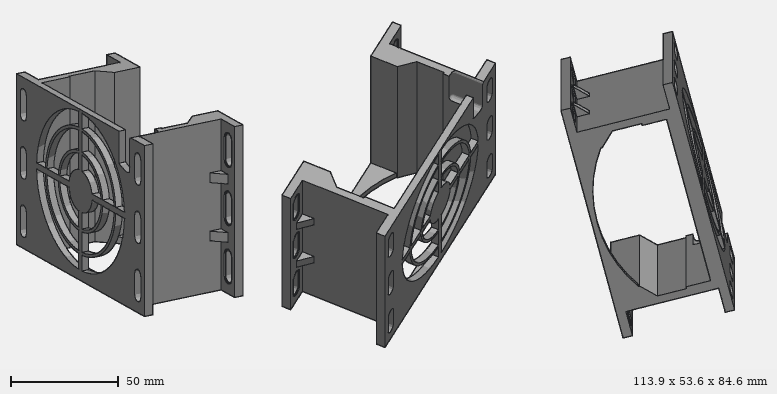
import cadquery as cq
import math

width = 113.9
depth = 53.6
height = 84.6
flange_thickness = 4.5

wall_outer_x = 44.9
wall_inner_x = 41.2
wall_front_inner_x = 40.3
wall_step_y = 19.0
pad_inner_x = 34.5
pad_chamfer_start_y = 33.0
pad_chamfer_size = wall_inner_x - pad_inner_x

plate_thickness = 3.6
floor_thickness = 3.4
floor_strip_y = 7.3
floor_arc_radius = 60.4
floor_arc_apex_y = 51.1

grille_z = 44.2
grille_radius = 39.1
hub_radius = 10.4
ring_outer_radii = (19.8, 31.3)
ring_width = 1.5
spoke_width = 3.1
spoke_offset = 0.3

slot_x = 50.9
slot_width = 5.4
slot_length = 15.8
slot_pitch = 28.8
slot_mid_z = height / 2
slot_rim = 0.6

gusset_leg = 6.2
gusset_height = 4.8

notch_left_x = 34.2
notch_right_x = 43.6
notch_left_z = 68.8
notch_knee_x = 35.4
notch_knee_z = 68.1
notch_floor_z = 66.6
notch_back_y = 15.7
notch_fillet = 1.6
notch_flare_width = 1.1
notch_flare_height = 1.6


def block(x_min, x_max, y_min, y_max, z_min, z_max):
    """Axis-aligned block between the given limits."""
    size = (x_max - x_min, y_max - y_min, z_max - z_min)
    return cq.Workplane("XY").box(*size, centered=False).translate((x_min, y_min, z_min))


def front_profile(y):
    """Sketch plane with local axes X and Z; extruding runs toward +Y."""
    return cq.Workplane("XZ", origin=(0, y, 0))


def side_frame():
    """Right wall with its front flange, rear flange and rear corner pad."""
    half_width = width / 2
    outline = [
        (wall_front_inner_x, 0),
        (half_width, 0),
        (half_width, flange_thickness),
        (wall_outer_x, flange_thickness),
        (wall_outer_x, depth - flange_thickness),
        (half_width, depth - flange_thickness),
        (half_width, depth),
        (pad_inner_x, depth),
        (pad_inner_x, pad_chamfer_start_y + pad_chamfer_size),
        (wall_inner_x, pad_chamfer_start_y),
        (wall_inner_x, wall_step_y),
        (wall_front_inner_x, wall_step_y),
    ]
    return cq.Workplane("XY").polyline(outline).close().extrude(height)


def gusset(mid_z):
    """Triangular web in the corner of the right wall and its rear flange."""
    flange_y = depth - flange_thickness
    corner = [
        (wall_outer_x, flange_y),
        (wall_outer_x + gusset_leg, flange_y),
        (wall_outer_x, flange_y - gusset_leg),
    ]
    base_z = mid_z - gusset_height / 2
    return cq.Workplane("XY", origin=(0, 0, base_z)).polyline(corner).close().extrude(gusset_height)


def floor():
    """Floor between the walls, with a large opening that is arched at the rear."""
    slab = block(-wall_inner_x, wall_inner_x, 0, depth, 0, floor_thickness)
    opening = (
        cq.Workplane("XY")
        .center(0, floor_arc_apex_y - floor_arc_radius)
        .circle(floor_arc_radius)
        .extrude(floor_thickness)
    )
    front_strip = block(-wall_inner_x, wall_inner_x, 0, floor_strip_y, 0, floor_thickness)
    return slab.cut(opening).union(front_strip)


def disc(radius, thickness):
    """Disc on the grille axis, starting at the front face."""
    return front_profile(0).center(0, grille_z).circle(radius).extrude(-thickness)


def grille():
    """Hub, concentric rings and crossed spokes that fill the fan opening."""
    bars = disc(hub_radius, plate_thickness)
    for outer_radius in ring_outer_radii:
        ring = disc(outer_radius, plate_thickness).cut(disc(outer_radius - ring_width, plate_thickness))
        bars = bars.union(ring)
    level_spoke = front_profile(0).center(0, grille_z + spoke_offset).rect(2 * grille_radius, spoke_width)
    upright_spoke = front_profile(0).center(-spoke_offset, grille_z).rect(spoke_width, 2 * grille_radius)
    for spoke in (level_spoke, upright_spoke):
        bars = bars.union(spoke.extrude(-plate_thickness))
    return bars.intersect(disc(grille_radius, plate_thickness))


def slots(y_start, length_y, margin=0.0):
    """Both columns of three upright slots, widened all round by the margin."""
    centres = [
        (side * slot_x, slot_mid_z + row * slot_pitch)
        for side in (-1, 1)
        for row in (-1, 0, 1)
    ]
    sketch = front_profile(y_start).pushPoints(centres)
    return sketch.slot2D(slot_length + 2 * margin, slot_width + 2 * margin, 90).extrude(-length_y)


def notch():
    """Cable notch through the front plate and into the right wall."""
    plate_outline = [
        (notch_left_x, height),
        (notch_left_x, notch_left_z),
        (notch_knee_x, notch_knee_z),
        (wall_front_inner_x, notch_floor_z),
        (wall_front_inner_x, height),
    ]
    plate_cut = front_profile(0).polyline(plate_outline).close().extrude(-plate_thickness)

    flare_radius = (notch_flare_width**2 + notch_flare_height**2) / (2 * notch_flare_width)
    flare_middle = math.asin(notch_flare_height / flare_radius) / 2
    flare_base_z = height - notch_flare_height
    wall_cut = (
        front_profile(0)
        .moveTo(wall_front_inner_x, height)
        .lineTo(wall_front_inner_x, notch_floor_z)
        .lineTo(notch_right_x, notch_floor_z)
        .lineTo(notch_right_x, flare_base_z)
        .threePointArc(
            (
                notch_right_x + flare_radius * (1 - math.cos(flare_middle)),
                flare_base_z + flare_radius * math.sin(flare_middle),
            ),
            (notch_right_x + notch_flare_width, height),
        )
        .close()
        .extrude(-notch_back_y)
    )
    floor_corner = cq.selectors.NearestToPointSelector((notch_right_x, notch_back_y / 2, notch_floor_z))
    wall_cut = wall_cut.edges(floor_corner).fillet(notch_fillet)
    wall_cut = wall_cut.faces(">Y").edges("not(<X or >Z)").fillet(notch_fillet)
    return plate_cut.union(wall_cut)


right_side = side_frame()
for offset in (-slot_pitch / 2, slot_pitch / 2):
    right_side = right_side.union(gusset(slot_mid_z + offset))
left_side = right_side.mirror("YZ")

front_plate = block(-wall_inner_x, wall_inner_x, 0, plate_thickness, 0, height)
body = right_side.union(left_side).union(front_plate).union(floor())

body = body.cut(disc(grille_radius, flange_thickness)).union(grille())

body = body.cut(slots(0, depth))
body = body.cut(slots(depth - flange_thickness, slot_rim, slot_rim))

result = body.cut(notch())